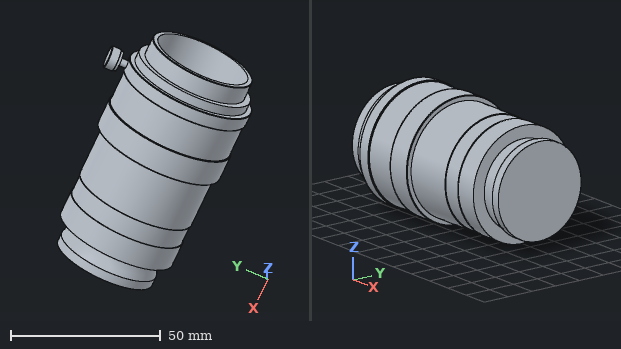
import cadquery as cq

NOSE_END, NOSE_R = 6.4, 18.25
SHOULDER_END, SHOULDER_R = 9.7, 20.5
FRONT_RING_END, RING_R = 14.6, 22.5
SLEEVE_END, SLEEVE_R = 26.35, 22.0
REAR_RING_END = 35.7
BODY_END, BODY_R = 54.3, 20.6
GROOVE_END, GROOVE_R = 61.3, 20.3
BODY_REAR_END = 69.85
FLARE_END, FLARE_START_R = 76.1, 16.0
LENGTH, TAIL_R = 79.4, 17.5
FLARE_MID_R = 16.5
EDGE_CHAMFER = 0.2

BORE_R, BORE_DEPTH = 16.5, 18.0
INNER_BORE_R, INNER_BORE_DEPTH = 12.5, 19.05
SEAT_R, SEAT_DEPTH = 12.2, 19.8

SCREW_X = (SHOULDER_END + FRONT_RING_END) / 2
SCREW_TOP = 29.4
HEAD_R, HEAD_HEIGHT = 4.0, 3.25
COLLAR_R, COLLAR_HEIGHT = 3.6, 1.0
STEM_R = 1.4
STEM_EMBED = 1.6
HEAD_CHAMFER = 0.2


def cylinder_x(start, end, radius):
    return cq.Workplane("YZ", origin=(start, 0, 0)).circle(radius).extrude(end - start)


def cylinder_y(start, end, radius):
    return cq.Workplane("XZ", origin=(SCREW_X, end, 0)).circle(radius).extrude(end - start)


def make_flare():
    """Concave flare widening to the tail cylinder."""
    middle_x = (BODY_REAR_END + FLARE_END) / 2
    return (
        cq.Workplane("XY")
        .moveTo(BODY_REAR_END, 0)
        .lineTo(BODY_REAR_END, FLARE_START_R)
        .threePointArc((middle_x, FLARE_MID_R), (FLARE_END, TAIL_R))
        .lineTo(FLARE_END, 0)
        .close()
        .revolve(360, (0, 0, 0), (1, 0, 0))
    )


def make_barrel():
    front_ring = cylinder_x(SHOULDER_END, FRONT_RING_END, RING_R).edges().chamfer(EDGE_CHAMFER)
    rear_ring = cylinder_x(SLEEVE_END, REAR_RING_END, RING_R).edges().chamfer(EDGE_CHAMFER)
    return (
        cylinder_x(0, NOSE_END, NOSE_R).faces("<X").edges().chamfer(EDGE_CHAMFER)
        .union(cylinder_x(NOSE_END, SHOULDER_END, SHOULDER_R))
        .union(front_ring)
        .union(cylinder_x(FRONT_RING_END, SLEEVE_END, SLEEVE_R))
        .union(rear_ring)
        .union(cylinder_x(REAR_RING_END, BODY_END, BODY_R))
        .union(cylinder_x(BODY_END, GROOVE_END, GROOVE_R))
        .union(cylinder_x(GROOVE_END, BODY_REAR_END, BODY_R))
        .union(make_flare())
        .union(cylinder_x(FLARE_END, LENGTH, TAIL_R))
    )


def make_bore():
    """Bore volume; the inner bore tapers into the narrower seat."""
    inner_bore = cylinder_x(BORE_DEPTH, INNER_BORE_DEPTH, INNER_BORE_R)
    return (
        inner_bore.faces(">X").edges().chamfer(INNER_BORE_R - SEAT_R)
        .union(cylinder_x(0, BORE_DEPTH, BORE_R))
        .union(cylinder_x(INNER_BORE_DEPTH, SEAT_DEPTH, SEAT_R))
    )


def make_thumb_screw():
    head_bottom = SCREW_TOP - HEAD_HEIGHT
    collar_bottom = head_bottom - COLLAR_HEIGHT
    return (
        cylinder_y(head_bottom, SCREW_TOP, HEAD_R).faces(">Y").edges().chamfer(HEAD_CHAMFER)
        .union(cylinder_y(collar_bottom, head_bottom, COLLAR_R))
        .union(cylinder_y(RING_R - STEM_EMBED, collar_bottom, STEM_R))
    )


result = make_barrel().cut(make_bore()).union(make_thumb_screw())